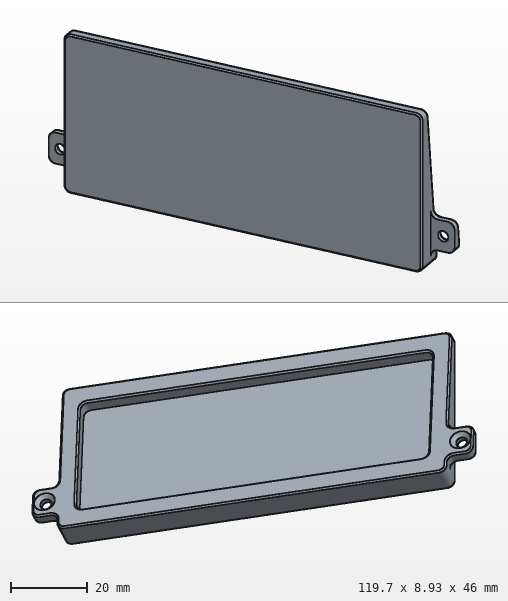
import cadquery as cq
import math

body_width = 105.7
body_height = 46.0
overall_depth = 8.93
back_tilt = math.radians(6.8)
corner_radius = 2.0
front_chamfer = 0.45
back_chamfer = 0.5

tab_reach = 7.0
tab_bottom = 5.0
tab_top = 14.0
tab_front = 5.0
tab_radius = 2.0

hole_diameter = 3.0
hole_edge_distance = 3.4
countersink_diameter = 5.6
countersink_angle = math.radians(90.0)

recess_side_margin = 5.0
recess_end_margin = 5.5
recess_depth = 3.65
recess_radius = 2.0
recess_chamfer = 0.5
recess_chamfer_angle = 45.0

base_depth = overall_depth + back_chamfer * math.sin(back_tilt)
top_depth = base_depth - body_height * math.tan(back_tilt)
half_width = body_width / 2
tab_end = half_width + tab_reach
hole_x = tab_end - hole_edge_distance
hole_z = (tab_bottom + tab_top) / 2
back_normal = cq.Vector(0, math.cos(back_tilt), math.sin(back_tilt))


def back_depth(z):
    """Y of the back face at height z."""
    return base_depth - z * math.tan(back_tilt)


def back_plane(x, z, sink=0.0):
    """Plane parallel to the back face, sunk below its point at (x, z) and facing outwards."""
    origin = cq.Vector(x, back_depth(z), z) - back_normal * sink
    return cq.Plane(origin=origin, xDir=(-1, 0, 0), normal=back_normal)


def make_wedge():
    """Side profile of the body swept along X over the full width including the tabs."""
    return (
        cq.Workplane("YZ")
        .polyline([(0, 0), (base_depth, 0), (top_depth, body_height), (0, body_height)])
        .close()
        .extrude(tab_end, both=True)
    )


def make_body_block():
    """Upright block with rounded corners and a chamfered front rim."""
    return (
        cq.Workplane("XZ")
        .center(0, body_height / 2)
        .rect(body_width, body_height)
        .extrude(-base_depth)
        .edges("|Y")
        .fillet(corner_radius)
        .faces("<Y")
        .edges()
        .chamfer(front_chamfer)
    )


def make_tab_block():
    """Right-hand tab with rounded outer corners and concave root fillets."""
    root = half_width - corner_radius
    return (
        cq.Workplane("XZ", origin=(0, tab_front, 0))
        .moveTo(root, tab_bottom - tab_radius)
        .lineTo(half_width, tab_bottom - tab_radius)
        .radiusArc((half_width + tab_radius, tab_bottom), tab_radius)
        .lineTo(tab_end - tab_radius, tab_bottom)
        .radiusArc((tab_end, tab_bottom + tab_radius), -tab_radius)
        .lineTo(tab_end, tab_top - tab_radius)
        .radiusArc((tab_end - tab_radius, tab_top), -tab_radius)
        .lineTo(half_width + tab_radius, tab_top)
        .radiusArc((half_width, tab_top + tab_radius), tab_radius)
        .lineTo(root, tab_top + tab_radius)
        .close()
        .extrude(tab_front - base_depth)
    )


def make_shell():
    """Body and tabs trimmed by the back face, with the whole back rim chamfered."""
    tab = make_tab_block()
    shell = make_body_block().union(tab).union(tab.mirror("YZ")).intersect(make_wedge())
    back_face = cq.selectors.DirectionMinMaxSelector(back_normal)
    return shell.faces(back_face).edges().chamfer(back_chamfer)


def make_screw_hole(x):
    """Hole along Y with a conical countersink square to the back face."""
    hole = cq.Workplane("XZ").center(x, hole_z).circle(hole_diameter / 2).extrude(-base_depth)
    cone_radius = countersink_diameter / 2
    cone_depth = cone_radius / math.tan(countersink_angle / 2)
    mouth = back_plane(x, hole_z)
    cone = cq.Solid.makeCone(cone_radius, 0, cone_depth, mouth.origin, mouth.zDir * -1)
    return hole.union(cq.Workplane(cone))


def make_recess():
    """Rounded rectangular pocket square to the back face, with a chamfered rim."""
    length = body_width - 2 * recess_side_margin
    height = (body_height - 2 * recess_end_margin) / math.cos(back_tilt)
    mouth_z = body_height / 2
    pocket = (
        cq.Workplane(back_plane(0, mouth_z, recess_depth))
        .sketch()
        .rect(length, height)
        .vertices()
        .fillet(recess_radius)
        .finalize()
        .extrude(recess_depth)
    )
    flare = (
        cq.Workplane(back_plane(0, mouth_z))
        .sketch()
        .rect(length + 2 * recess_chamfer, height + 2 * recess_chamfer)
        .vertices()
        .fillet(recess_radius + recess_chamfer)
        .finalize()
        .extrude(-recess_chamfer, taper=recess_chamfer_angle)
    )
    return pocket.union(flare)


result = make_shell().cut(make_recess())
for side in (-1, 1):
    result = result.cut(make_screw_hole(side * hole_x))